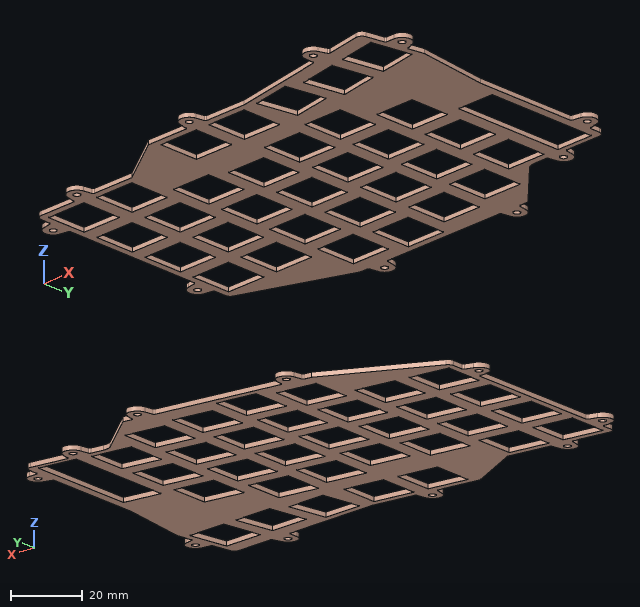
import math

import cadquery as cq

THICKNESS = 1.6
PITCH = 19.05
CELL = PITCH / 2
SWITCH_SIZE = 14.0

COLUMNS = [
    (0.0, 4),
    (0.0, 4),
    (0.6 * PITCH, 4),
    (0.75 * PITCH, 4),
    (0.5 * PITCH, 4),
    (0.35 * PITCH, 4),
    (-0.15 * PITCH, 3),
]
LEFT_ROWS = COLUMNS[0][1]
TOP_STAGGER = COLUMNS[3][0]
INNER_STAGGER = COLUMNS[6][0]

THUMB_Y = -3.65 * PITCH
THUMB_COLUMNS = (3, 4)
THUMB_TILT = 10.0
FAN_INNER = (96.95, -71.5)
FAN_END = (134.95, -75.4)
FAN_MARGIN = 12.41

WINDOW_WIDTH = 13.3
WINDOW_HEIGHT = 39.2
WINDOW_X = 132.95
WINDOW_TOP = 4.7

LEFT = -CELL
RIGHT = len(COLUMNS) * PITCH + CELL
TOP = TOP_STAGGER + CELL
INNER_TOP = INNER_STAGGER + CELL
LEFT_BOTTOM = -(LEFT_ROWS - 1) * PITCH - CELL
THUMB_BOTTOM = THUMB_Y - CELL
SHOULDER_START_X = 5 * PITCH
SHOULDER_END_X = 113.2
FLARE_Y = -42.3
CORNER_RADIUS = 2.0
SHOULDER_RADIUS = 5.0

TAB_RADIUS = 3.2
TAB_REACH = 2.75
TAB_TAPER = 10.0
TAB_ROOT_RADIUS = 0.5
TAB_OVERLAP = 1.0
SCREW_DIAMETER = 2.2
TOP_TAB_XS = (35.4, 88.0)


def fan_point(along, up):
    """Point given in the tilted frame of the last thumb switch."""
    tilt = math.radians(THUMB_TILT)
    x = FAN_END[0] + along * math.cos(tilt) + up * math.sin(tilt)
    y = FAN_END[1] - along * math.sin(tilt) + up * math.cos(tilt)
    return (x, y)


def round_corner(plate, corner, radius):
    """Round the upright plate edge at one outline corner."""
    x, y = corner
    edge = cq.selectors.NearestToPointSelector((x, y, THICKNESS / 2))
    return plate.edges("|Z").edges(edge).fillet(radius)


def make_plate():
    left_upper = (LEFT, CELL)
    left_lower = (LEFT, LEFT_BOTTOM)
    right_upper = (RIGHT, INNER_TOP)
    fan_lower = fan_point(CELL, -FAN_MARGIN)
    shoulder_end = (SHOULDER_END_X, INNER_TOP)
    outline = [
        left_upper,
        (PITCH + CELL, TOP),
        (SHOULDER_START_X, TOP),
        shoulder_end,
        right_upper,
        (RIGHT, FLARE_Y),
        fan_point(CELL, CELL),
        fan_lower,
        (4 * PITCH + CELL, THUMB_BOTTOM),
        (2 * PITCH + CELL, THUMB_BOTTOM),
        (PITCH + CELL, LEFT_BOTTOM),
        left_lower,
    ]
    plate = cq.Workplane("XY").polyline(outline).close().extrude(THICKNESS)
    for corner in (left_upper, left_lower, right_upper, fan_lower):
        plate = round_corner(plate, corner, CORNER_RADIUS)
    return round_corner(plate, shoulder_end, SHOULDER_RADIUS)


def make_tab():
    """Tab pointing along +Y, with the plate edge on the X axis."""
    taper = math.radians(TAB_TAPER)
    side_x = TAB_RADIUS * math.cos(taper)
    side_y = TAB_REACH + TAB_RADIUS * math.sin(taper)
    base_x = (TAB_RADIUS + TAB_REACH * math.sin(taper)) / math.cos(taper)
    half_turn = (math.pi / 2 - taper) / 2
    setback = TAB_ROOT_RADIUS * math.tan(half_turn)
    root_top_x = base_x - setback * math.sin(taper)
    root_top_y = setback * math.cos(taper)
    root_x = base_x + setback
    root_mid_x = root_x - TAB_ROOT_RADIUS * math.sin(half_turn)
    root_mid_y = TAB_ROOT_RADIUS * (1 - math.cos(half_turn))
    return (
        cq.Workplane("XY")
        .moveTo(root_x, 0)
        .threePointArc((root_mid_x, root_mid_y), (root_top_x, root_top_y))
        .lineTo(side_x, side_y)
        .threePointArc((0, TAB_REACH + TAB_RADIUS), (-side_x, side_y))
        .lineTo(-root_top_x, root_top_y)
        .threePointArc((-root_mid_x, root_mid_y), (-root_x, 0))
        .lineTo(-root_x, -TAB_OVERLAP)
        .lineTo(root_x, -TAB_OVERLAP)
        .close()
        .extrude(THICKNESS)
    )


def tab_places():
    """Point on the plate edge and outward turn from +Y, for every tab."""
    top_places = [((x, TOP), 0) for x in TOP_TAB_XS]
    other_places = [
        ((6 * PITCH + CELL, INNER_TOP), 0),
        ((RIGHT, INNER_STAGGER), -90),
        (fan_point(CELL, 0), -90 - THUMB_TILT),
        (fan_point(-CELL, -FAN_MARGIN), 180 - THUMB_TILT),
        ((3 * PITCH + CELL, THUMB_BOTTOM), 180),
        ((CELL, LEFT_BOTTOM), 180),
        ((LEFT, -(LEFT_ROWS - 1) * PITCH), 90),
        ((LEFT, 0), 90),
    ]
    return top_places + other_places


def add_tabs(plate):
    tab = make_tab()
    screw_hole = (
        cq.Workplane("XY").center(0, TAB_REACH).circle(SCREW_DIAMETER / 2).extrude(THICKNESS)
    )
    for (x, y), turn in tab_places():
        place = cq.Location(cq.Vector(x, y, 0), cq.Vector(0, 0, 1), turn)
        plate = plate.union(cq.Workplane(tab.val().moved(place)))
        plate = plate.cut(cq.Workplane(screw_hole.val().moved(place)))
    return plate


def switch_centres():
    """Centres of all the upright switches."""
    centres = []
    for column, (stagger, count) in enumerate(COLUMNS):
        for row in range(count):
            centres.append((column * PITCH, stagger - row * PITCH))
    for column in THUMB_COLUMNS:
        centres.append((column * PITCH, THUMB_Y))
    return centres


def cut_switches(plate):
    upright = cq.Workplane("XY").pushPoints(switch_centres()).rect(SWITCH_SIZE, SWITCH_SIZE)
    plate = plate.cut(upright.extrude(THICKNESS))
    for x, y in (FAN_INNER, fan_point(-PITCH, 0), FAN_END):
        cutout = cq.Workplane("XY").rect(SWITCH_SIZE, SWITCH_SIZE).extrude(THICKNESS)
        plate = plate.cut(cutout.rotate((0, 0, 0), (0, 0, 1), -THUMB_TILT).translate((x, y, 0)))
    return plate


def cut_window(plate):
    window = (
        cq.Workplane("XY")
        .center(WINDOW_X, WINDOW_TOP - WINDOW_HEIGHT / 2)
        .rect(WINDOW_WIDTH, WINDOW_HEIGHT)
        .extrude(THICKNESS)
    )
    return plate.cut(window)


result = cut_window(cut_switches(add_tabs(make_plate())))